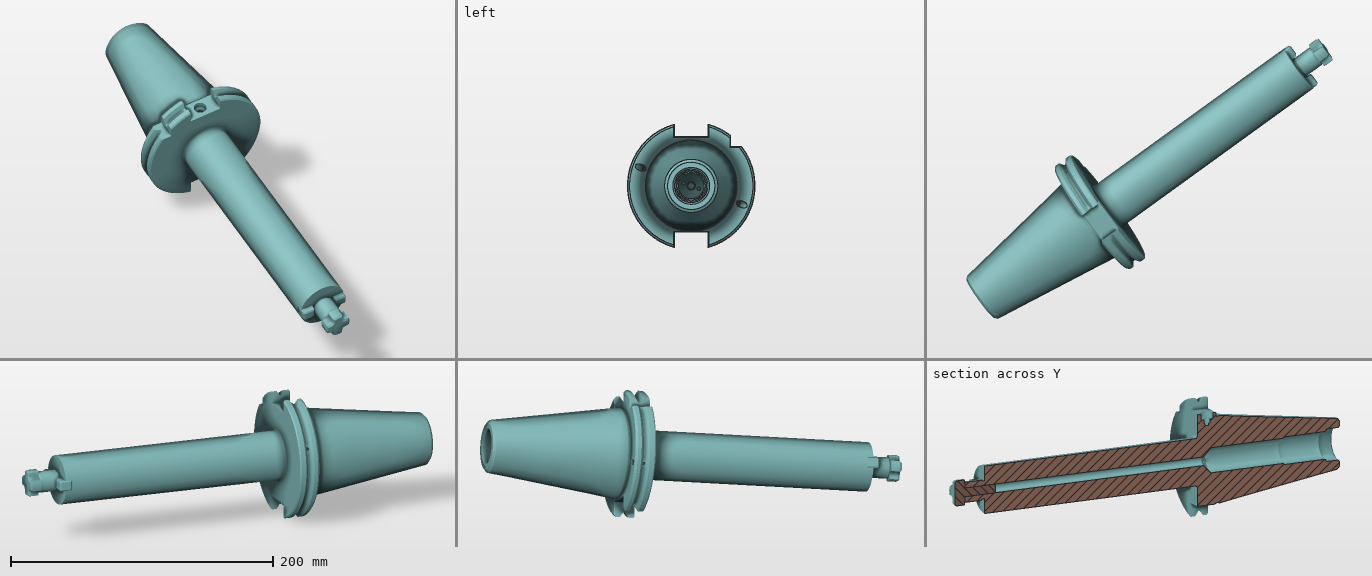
import cadquery as cq
import math

total_length = 326.8

taper_length = 102.5
taper_large_radius = 35.0
taper_slope = 7 / 48
taper_small_radius = taper_large_radius - taper_length * taper_slope
taper_end_chamfer = 2.0
neck_length = 2.3
neck_depth = 0.5

flange_radius = 48.7
flange_width = 16.0
flange_rear_chamfer = 1.5
flange_front_chamfer = 1.0
flange_rear_x = taper_length + neck_length
flange_front_x = flange_rear_x + flange_width
groove_center_x = flange_rear_x + 8.0
groove_top_width = 7.0
groove_bottom_width = 1.5
groove_depth = 3.5

drive_slot_width = 25.8
upper_slot_floor = 37.5
lower_slot_floor = 35.3
index_notch_reach = 30.0
cutout_chamfer = 0.5
chip_pocket_radius = 5.0
chip_pocket_depth = 4.5
chip_hole_radius = 2.3
chip_hole_depth = 3.3
chip_hole_core_radius = 1.3
chip_hole_core_depth = 5.0

shaft_radius = 19.0
shaft_fillet = 2.0
shaft_end_x = 301.5
spigot_radius = 8.2
spigot_end_x = 318.3
spigot_chamfer = 1.0
undercut_radius = 7.2
undercut_length = 1.5

bore_mouth_radius = 14.0
bore_pilot_radius = 12.7
bore_pilot_depth = 11.5
bore_thread_radius = 10.8
bore_thread_chamfer = 1.0
bore_thread_end_x = 47.0
bore_inner_radius = 9.8
passage_radius = 3.3

channel_roll = 20.0
channel_radius = 1.3
channel_cone_radius = 6.2
plug_hole_angle = 54.0
plug_mouth_radius = 41.2
plug_radius = 2.45
plug_recess = 3.5
plug_length = 5.2
plug_socket_size = 3.0
plug_socket_depth = 2.0

bore_cone_x = groove_center_x - (bore_inner_radius - channel_cone_radius)

key_width = 8.2
key_rear_x = 296.5
key_front_x = 306.2
key_inner = 9.0
key_outer = 18.3
key_chamfer = 1.0

bolt_head_radius = 10.0
bolt_lobe_width = 8.2
bolt_lobe_fillet = 2.3
bolt_chamfer_length = 1.5
bolt_chamfer_height = 1.0
bolt_stem_radius = passage_radius
bolt_stem_length = 26.0
bolt_stem_chamfer = 0.82
bolt_stem_x = spigot_end_x - bolt_stem_length


def revolve_about_x(profile):
    """Turn a closed profile, drawn as (x, radius), about the tool axis."""
    return profile.close().revolve(360, (0, 0, 0), (1, 0, 0))


def block(x_range, y_range, z_range):
    """Axis-aligned box between the given limits."""
    size = [high - low for low, high in (x_range, y_range, z_range)]
    corner = (x_range[0], y_range[0], z_range[0])
    return cq.Workplane("XY").box(*size, centered=False).translate(corner)


incline = math.radians(plug_hole_angle)
plug_direction = cq.Vector(math.cos(incline), -math.sin(incline), 0)
plug_mouth = cq.Vector(flange_rear_x, plug_mouth_radius, 0)
plug_hole_length = plug_recess + plug_length
inclined_length = (groove_center_x - flange_rear_x) / math.cos(incline)
channel_rolls = [channel_roll, channel_roll + 180]


def plug_axis_cylinder(radius, start, length):
    """Cylinder on the plug axis; start is measured inward from the flange face."""
    return cq.Workplane(cq.Solid.makeCylinder(
        radius, length, plug_mouth + plug_direction * start, plug_direction))


def channel_tool(roll):
    """Plug hole, its narrow run to the radial hole, and the radial hole itself."""
    plug_hole = plug_axis_cylinder(plug_radius, -plug_recess, plug_recess + plug_hole_length)
    inclined_run = plug_axis_cylinder(channel_radius, 0, inclined_length)
    radial_hole = (
        cq.Workplane("XZ", origin=(groove_center_x, passage_radius, 0))
        .circle(channel_radius)
        .extrude(passage_radius - flange_radius)
    )
    tool = plug_hole.union(inclined_run).union(radial_hole)
    return tool.rotate((0, 0, 0), (1, 0, 0), roll)


def coolant_plug(roll):
    """Set screw with a hexagon socket, sunk below the flange face."""
    outer_end = plug_mouth + plug_direction * plug_recess
    socket_plane = cq.Plane(outer_end, (0, 0, 1), plug_direction)
    socket = cq.Workplane(socket_plane).polygon(6, plug_socket_size).extrude(plug_socket_depth)
    plug = plug_axis_cylinder(plug_radius, plug_recess, plug_length).cut(socket)
    return plug.rotate((0, 0, 0), (1, 0, 0), roll)


def key_block(side, outer):
    """Key-wide block reaching out to the +Y (side = 1) or -Y (side = -1) flank of the shaft."""
    y_range = sorted((side * key_inner, side * outer))
    return block((key_rear_x, key_front_x), y_range, (-key_width / 2, key_width / 2))


def drive_key(side):
    """Key with chamfered edges around its outer face and its front face."""
    chamfered_faces = ">X or >Y" if side > 0 else ">X or <Y"
    return key_block(side, key_outer).faces(chamfered_faces).edges().chamfer(key_chamfer)


def clamping_bolt():
    """Bolt whose head is a round-cornered cross, with its stem in the spigot."""
    head_length = total_length - spigot_end_x
    bars = cq.Workplane("YZ", origin=(spigot_end_x, 0, 0))
    cross = bars.rect(bolt_lobe_width, 2 * bolt_head_radius).extrude(head_length)
    cross = cross.union(bars.rect(2 * bolt_head_radius, bolt_lobe_width).extrude(head_length))
    bar_overlap = cq.selectors.BoxSelector(
        (spigot_end_x, -bolt_lobe_width, -bolt_lobe_width),
        (total_length, bolt_lobe_width, bolt_lobe_width))
    cross = cross.edges("|X").edges(bar_overlap).fillet(bolt_lobe_fillet)
    head = bars.circle(bolt_head_radius).extrude(head_length).intersect(cross)
    head = head.faces(">X").chamfer(bolt_chamfer_height, bolt_chamfer_length)
    stem = (
        cq.Workplane("YZ", origin=(bolt_stem_x, 0, 0))
        .circle(bolt_stem_radius)
        .extrude(bolt_stem_length)
        .faces("<X")
        .chamfer(bolt_stem_chamfer)
    )
    return head.union(stem)


def holder_blank():
    """Turned outside: taper, neck, flange, shaft and spigot."""
    taper_chamfer_radius = taper_small_radius + taper_end_chamfer * taper_slope
    return revolve_about_x(
        cq.Workplane("XY")
        .moveTo(0, 0)
        .lineTo(0, taper_small_radius - taper_end_chamfer)
        .lineTo(taper_end_chamfer, taper_chamfer_radius)
        .lineTo(taper_length, taper_large_radius)
        .lineTo(taper_length, taper_large_radius - neck_depth)
        .lineTo(flange_rear_x, taper_large_radius - neck_depth)
        .lineTo(flange_rear_x, flange_radius - flange_rear_chamfer)
        .lineTo(flange_rear_x + flange_rear_chamfer, flange_radius)
        .lineTo(groove_center_x - groove_top_width / 2, flange_radius)
        .lineTo(groove_center_x - groove_bottom_width / 2, flange_radius - groove_depth)
        .lineTo(groove_center_x + groove_bottom_width / 2, flange_radius - groove_depth)
        .lineTo(groove_center_x + groove_top_width / 2, flange_radius)
        .lineTo(flange_front_x - flange_front_chamfer, flange_radius)
        .lineTo(flange_front_x, flange_radius - flange_front_chamfer)
        .lineTo(flange_front_x, shaft_radius + shaft_fillet)
        .radiusArc((flange_front_x + shaft_fillet, shaft_radius), -shaft_fillet)
        .lineTo(shaft_end_x, shaft_radius)
        .lineTo(shaft_end_x, undercut_radius)
        .lineTo(shaft_end_x + undercut_length, undercut_radius)
        .lineTo(shaft_end_x + undercut_length, spigot_radius)
        .lineTo(spigot_end_x - spigot_chamfer, spigot_radius)
        .lineTo(spigot_end_x, spigot_radius - spigot_chamfer)
        .lineTo(spigot_end_x, 0)
    )


def bore_tool():
    """Stepped bore with a 90 degree cone that leads to the bolt passage."""
    cone_length = bore_inner_radius - passage_radius
    mouth_chamfer = bore_mouth_radius - bore_pilot_radius
    return revolve_about_x(
        cq.Workplane("XY")
        .moveTo(0, 0)
        .lineTo(0, bore_mouth_radius)
        .lineTo(mouth_chamfer, bore_pilot_radius)
        .lineTo(bore_pilot_depth, bore_pilot_radius)
        .lineTo(bore_pilot_depth, bore_thread_radius + bore_thread_chamfer)
        .lineTo(bore_pilot_depth + bore_thread_chamfer, bore_thread_radius)
        .lineTo(bore_thread_end_x, bore_thread_radius)
        .lineTo(bore_thread_end_x, bore_inner_radius)
        .lineTo(bore_cone_x, bore_inner_radius)
        .lineTo(bore_cone_x + cone_length, passage_radius)
        .lineTo(spigot_end_x, passage_radius)
        .lineTo(spigot_end_x, 0)
    )


def flange_cutout(y_range, z_range):
    """Box through the flange, flared at 45 degrees where it meets the rear face."""
    width = y_range[1] - y_range[0]
    height = z_range[1] - z_range[0]
    center = (flange_rear_x, sum(y_range) / 2, sum(z_range) / 2)
    flare = (
        cq.Workplane("YZ", origin=center)
        .rect(width + 2 * cutout_chamfer, height + 2 * cutout_chamfer)
        .extrude(cutout_chamfer, taper=45)
    )
    return block((flange_rear_x, flange_front_x), y_range, z_range).union(flare)


def flange_cutouts():
    """Two drive slots of different depth and the corner index notch."""
    slot_span = (-drive_slot_width / 2, drive_slot_width / 2)
    upper = flange_cutout(slot_span, (upper_slot_floor, flange_radius))
    lower = flange_cutout(slot_span, (-flange_radius, -lower_slot_floor))
    notch = flange_cutout((-flange_radius, -index_notch_reach), (index_notch_reach, flange_radius))
    return upper.union(lower).union(notch)


def chip_pocket():
    """Round pocket with a stepped hole in the floor of the upper drive slot."""
    floor = cq.Workplane("XY", origin=(groove_center_x, 0, upper_slot_floor))
    pocket = floor.circle(chip_pocket_radius).extrude(-chip_pocket_depth)
    hole = floor.circle(chip_hole_radius).extrude(-chip_pocket_depth - chip_hole_depth)
    core = floor.circle(chip_hole_core_radius).extrude(-chip_pocket_depth - chip_hole_core_depth)
    return pocket.union(hole).union(core)


def tool_holder():
    """Holder with its bore, flange cut-outs, coolant channels and key seats."""
    body = holder_blank().cut(bore_tool()).cut(flange_cutouts()).cut(chip_pocket())
    for roll in channel_rolls:
        body = body.cut(channel_tool(roll))
    for side in (1, -1):
        body = body.cut(key_block(side, shaft_radius))
    return body


holder = tool_holder()
bolt = clamping_bolt()
keys = [drive_key(side) for side in (1, -1)]
plugs = [coolant_plug(roll) for roll in channel_rolls]

bodies = [holder, bolt, *keys, *plugs]
result = cq.Compound.makeCompound([body.solids().val() for body in bodies])